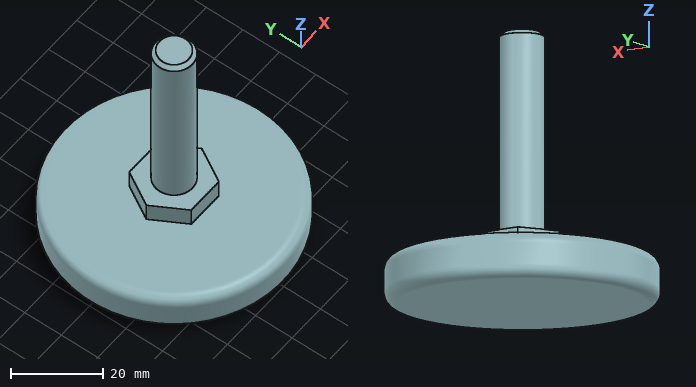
import cadquery as cq
import math

total_height = 60.0
base_diameter = 60.0
base_height = 10.0
base_edge_radius = 2.5
hex_across_flats = 17.0
hex_height = 5.0
stud_diameter = 10.0
stud_chamfer = 1.0

hex_across_corners = hex_across_flats / math.cos(math.radians(30))
stud_length = total_height - base_height

base = (
    cq.Workplane("XY")
    .circle(base_diameter / 2)
    .extrude(base_height)
    .edges()
    .fillet(base_edge_radius)
)

hex_nut = (
    cq.Workplane("XY")
    .workplane(offset=base_height)
    .polygon(6, hex_across_corners)
    .extrude(hex_height)
)

stud = (
    cq.Workplane("XY")
    .workplane(offset=base_height)
    .circle(stud_diameter / 2)
    .extrude(stud_length)
    .faces(">Z")
    .chamfer(stud_chamfer)
)

result = base.union(hex_nut).union(stud)